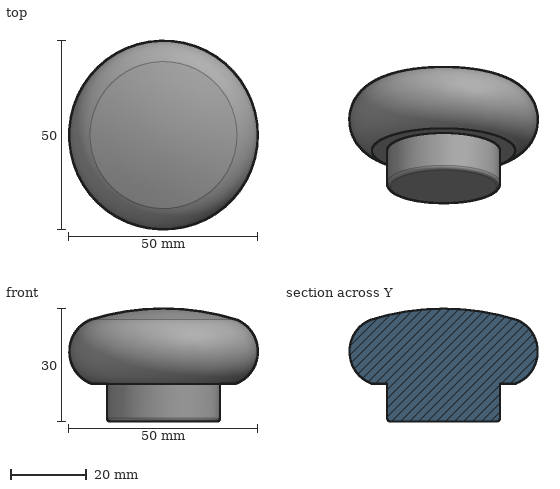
import cadquery as cq
import math

total_height = 30.0
head_diameter = 50.0
neck_diameter = 30.0
neck_height = 10.0
neck_edge_radius = 1.0
underside_diameter = 38.0
dome_diameter = 38.9
rim_arc_radius = 9.15

head_radius = head_diameter / 2
neck_radius = neck_diameter / 2
underside_radius = underside_diameter / 2
dome_radius = dome_diameter / 2

rim_center_r = head_radius - rim_arc_radius
rim_center_z = neck_height + math.sqrt(rim_arc_radius**2 - (underside_radius - rim_center_r) ** 2)
dome_base_z = rim_center_z + math.sqrt(rim_arc_radius**2 - (dome_radius - rim_center_r) ** 2)

dome_height = total_height - dome_base_z
dome_sphere_radius = (dome_radius**2 + dome_height**2) / (2 * dome_height)
dome_sphere_z = total_height - dome_sphere_radius
dome_mid_r = dome_radius / 2
dome_mid_z = dome_sphere_z + math.sqrt(dome_sphere_radius**2 - dome_mid_r**2)


def make_neck():
    """Cylindrical neck with a rounded bottom edge."""
    neck = cq.Workplane("XY").circle(neck_radius).extrude(neck_height)
    return neck.faces("<Z").edges().fillet(neck_edge_radius)


def make_head():
    """Revolved head: flat underside, bulging rim and domed top."""
    profile = (
        cq.Workplane("XZ")
        .moveTo(0, neck_height)
        .lineTo(underside_radius, neck_height)
        .threePointArc((head_radius, rim_center_z), (dome_radius, dome_base_z))
        .threePointArc((dome_mid_r, dome_mid_z), (0, total_height))
        .close()
    )
    return profile.revolve(360, (0, 0, 0), (0, 1, 0))


result = make_neck().union(make_head())